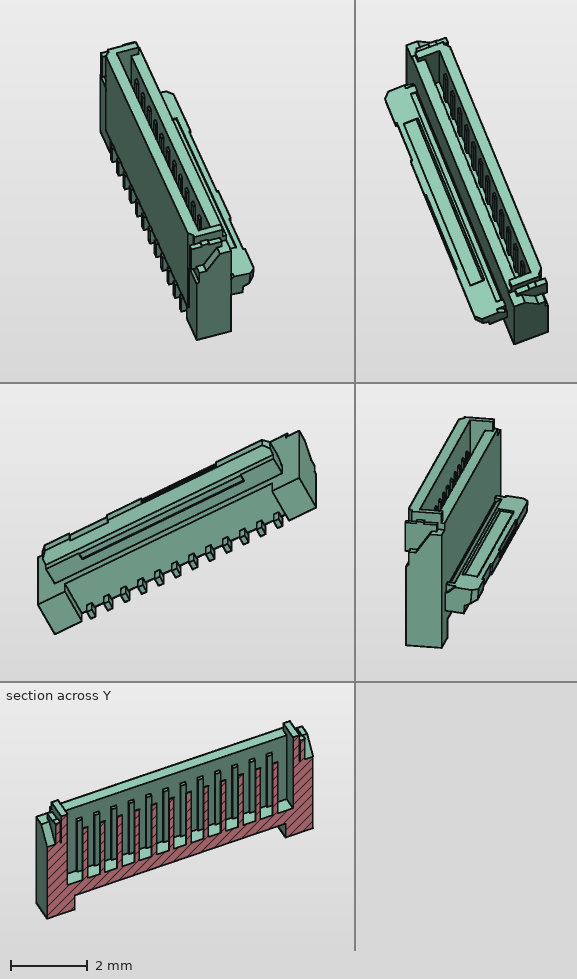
import cadquery as cq
import math


length = 7.7
depth = 1.87
height = 3.6
shoulder_z = 3.155
rear_wall_z = 3.34
shroud_length = 6.9
ear_front = -0.952
front_plate_y = -0.995
front_plate_bottom = 0.67
front_plate_length = 6.52
shroud_bevel_width = 0.12
end_wall_rear = -0.093

ear_relief_y = -0.88
ear_relief_bottom = 2.2
ear_relief_bevel = 0.065
ear_slope_start = -0.31
ear_slope_end = -0.687
ear_step_z = 2.617

foot_gap_length = 6.1
foot_gap_height = 0.51

slot_length = 6.52
slot_front = -0.697
slot_rear = -0.297
slot_floor = 1.0

terminal_count = 12
terminal_pitch = 0.5
terminal_width = 0.15
terminal_front = -1.018
tail_depth = 0.22
tail_bottom = 0.045
tail_top = 0.555
contact_height = 0.05
contact_top = 2.9
contact_lead_in = 0.04

nail_inner_x = 3.47
nail_thickness = 0.145
nail_rear = -0.18
nail_bottom = 2.548
nail_bump_rear = -0.522
nail_bump_front = -0.725
nail_bump_height = 0.05

latch_hinge_z = 1.547
latch_tilt = 5.0
latch_length = 6.7
latch_reach = (depth + terminal_front) / math.cos(math.radians(latch_tilt))
latch_root = -0.1
latch_lip_thickness = 0.3
latch_heel_u = 0.55
latch_heel_top = -0.467
latch_heel_bottom = -0.69
latch_corner_bevel = 0.15
latch_groove_length = 6.12
latch_groove_u = 0.186
latch_groove_end_u = 0.045
latch_groove_depth = 0.1
latch_side_notch_width = 0.1
latch_side_notch_u = 0.25
latch_side_notch_end_u = 0.06
latch_side_notch_depth = 0.19
latch_pocket_length = 4.76
latch_pocket_front = 0.252
latch_pocket_rear = 0.652
latch_pocket_depth = 0.05
latch_pocket_slope = 0.05
latch_tab_length = 4.76
latch_tab_front = 0.39
latch_tab_height = 0.05
latch_tab_slope = 0.05
wide_notch = (-1.84, 0.36)
wide_notch_depth = 0.04
wide_notch_height = 0.2
deep_notch = (1.37, 2.48)
deep_notch_depth = 0.05


def block(x_range, y_range, z_range):
    """Box between two X, two Y and two Z values."""
    size = [abs(r[1] - r[0]) for r in (x_range, y_range, z_range)]
    centre = [(r[0] + r[1]) / 2 for r in (x_range, y_range, z_range)]
    return cq.Workplane("XY").box(*size).translate(tuple(centre))


def centred(size):
    """Range of the given size, symmetric about zero."""
    return (-size / 2, size / 2)


def prism(points, x_range):
    """Extrude an outline of (Y, Z) points across an X range."""
    return (
        cq.Workplane("YZ", origin=(x_range[0], 0, 0))
        .polyline(points)
        .close()
        .extrude(x_range[1] - x_range[0])
    )


def mirrored_pair(solid):
    """The solid together with its mirror image across X = 0."""
    return solid.union(solid.mirror("YZ"))


def make_shroud():
    """Raised block between the nails, bevelled from the ear relief out to the front plate."""
    shroud_half = shroud_length / 2
    plate_half = front_plate_length / 2
    bevel_start = plate_half + shroud_bevel_width
    plan = [
        (-shroud_half, 0),
        (-shroud_half, ear_relief_y),
        (-bevel_start, ear_relief_y),
        (-plate_half, front_plate_y),
        (plate_half, front_plate_y),
        (bevel_start, ear_relief_y),
        (shroud_half, ear_relief_y),
        (shroud_half, 0),
    ]
    return (
        cq.Workplane("XY", origin=(0, 0, ear_relief_bottom))
        .polyline(plan)
        .close()
        .extrude(height - ear_relief_bottom)
    )


def make_housing():
    ear_outline = [
        (0, 0),
        (0, shoulder_z),
        (ear_slope_start, shoulder_z),
        (ear_slope_end, ear_step_z),
        (ear_relief_y, ear_step_z),
        (ear_relief_y, ear_relief_bottom + ear_relief_bevel),
        (ear_front, ear_relief_bottom),
        (ear_front, 0),
    ]
    housing = prism(ear_outline, centred(length))

    plate_z = (front_plate_bottom, height)
    plate = block(centred(front_plate_length), (front_plate_y, 0), plate_z)
    housing = housing.union(plate).union(make_shroud())

    above_rear_wall = (rear_wall_z, height)
    housing = housing.cut(block(centred(shroud_length), (end_wall_rear, 0), above_rear_wall))
    housing = housing.cut(block(centred(slot_length), (slot_rear, 0), above_rear_wall))
    housing = housing.cut(block(centred(slot_length), (slot_front, slot_rear), (slot_floor, height)))
    return housing.cut(block(centred(foot_gap_length), (ear_front, 0), (0, foot_gap_height)))


def make_contact(wall_y, direction, x_range):
    """Contact strip on a slot wall, with a sloping lead-in at its top."""
    face_y = wall_y + direction * contact_height
    outline = [
        (wall_y, slot_floor),
        (wall_y, contact_top),
        (face_y, contact_top - contact_lead_in),
        (face_y, slot_floor),
    ]
    return prism(outline, x_range)


def add_terminals(body):
    for i in range(terminal_count):
        x = (i - (terminal_count - 1) / 2) * terminal_pitch
        x_range = (x - terminal_width / 2, x + terminal_width / 2)
        tail = block(x_range, (terminal_front, terminal_front + tail_depth), (tail_bottom, tail_top))
        body = body.union(tail)
        body = body.union(make_contact(slot_front, 1, x_range))
        body = body.union(make_contact(slot_rear, -1, x_range))
    return body


def make_nails():
    x_range = (nail_inner_x, nail_inner_x + nail_thickness)
    plate = block(x_range, (terminal_front, nail_rear), (nail_bottom, rear_wall_z))
    bump = block(x_range, (nail_bump_front, nail_bump_rear), (nail_bottom, rear_wall_z + nail_bump_height))
    return mirrored_pair(plate.union(bump))


def make_latch():
    outline = [
        (latch_root, 0),
        (latch_reach, 0),
        (latch_reach, -latch_lip_thickness),
        (latch_heel_u, latch_heel_top),
        (latch_heel_u, latch_heel_bottom),
        (latch_root, latch_heel_bottom),
    ]
    latch = prism(outline, centred(latch_length))
    latch = cut_latch_corners(latch)
    latch = cut_latch_front(latch)
    latch = cut_latch_pocket(latch)
    latch = cut_latch_rear_notches(latch)
    latch = latch.union(make_latch_tab())
    return latch.rotate((0, 0, 0), (1, 0, 0), -latch_tilt).translate((0, 0, latch_hinge_z))


def cut_latch_corners(latch):
    half = latch_length / 2
    corner = (
        cq.Workplane("XY")
        .polyline([
            (half, latch_reach),
            (half - latch_corner_bevel, latch_reach),
            (half, latch_reach - latch_corner_bevel),
        ])
        .close()
        .extrude(latch_heel_bottom)
    )
    return latch.cut(mirrored_pair(corner))


def sloped_relief(start_u, end_u, relief_depth, x_range):
    """Relief in the flap's top that slopes down towards the housing, then runs level."""
    outline = [
        (start_u, 0),
        (end_u, -relief_depth),
        (latch_root, -relief_depth),
        (latch_root, 0),
    ]
    return prism(outline, x_range)


def cut_latch_front(latch):
    groove_x = centred(latch_groove_length)
    groove = sloped_relief(latch_groove_u, latch_groove_end_u, latch_groove_depth, groove_x)
    half = latch_length / 2
    notch_x = (half - latch_side_notch_width, half)
    notch = sloped_relief(latch_side_notch_u, latch_side_notch_end_u, latch_side_notch_depth, notch_x)
    return latch.cut(groove).cut(mirrored_pair(notch))


def cut_latch_pocket(latch):
    outline = [
        (latch_pocket_front, 0),
        (latch_pocket_front + latch_pocket_slope, -latch_pocket_depth),
        (latch_pocket_rear, -latch_pocket_depth),
        (latch_pocket_rear, 0),
    ]
    return latch.cut(prism(outline, centred(latch_pocket_length)))


def cut_latch_rear_notches(latch):
    wide = block(wide_notch, (latch_reach - wide_notch_depth, latch_reach), (-wide_notch_height, 0))
    deep = block(deep_notch, (latch_reach - deep_notch_depth, latch_reach), (latch_heel_bottom, 0))
    return latch.cut(wide).cut(deep)


def make_latch_tab():
    tab_bottom = latch_heel_bottom - latch_tab_height
    outline = [
        (latch_tab_front - latch_tab_slope, latch_heel_bottom),
        (latch_heel_u, latch_heel_bottom),
        (latch_heel_u, tab_bottom),
        (latch_tab_front, tab_bottom),
    ]
    return prism(outline, centred(latch_tab_length))


result = add_terminals(make_housing())
result = result.union(make_nails())
result = result.union(make_latch())